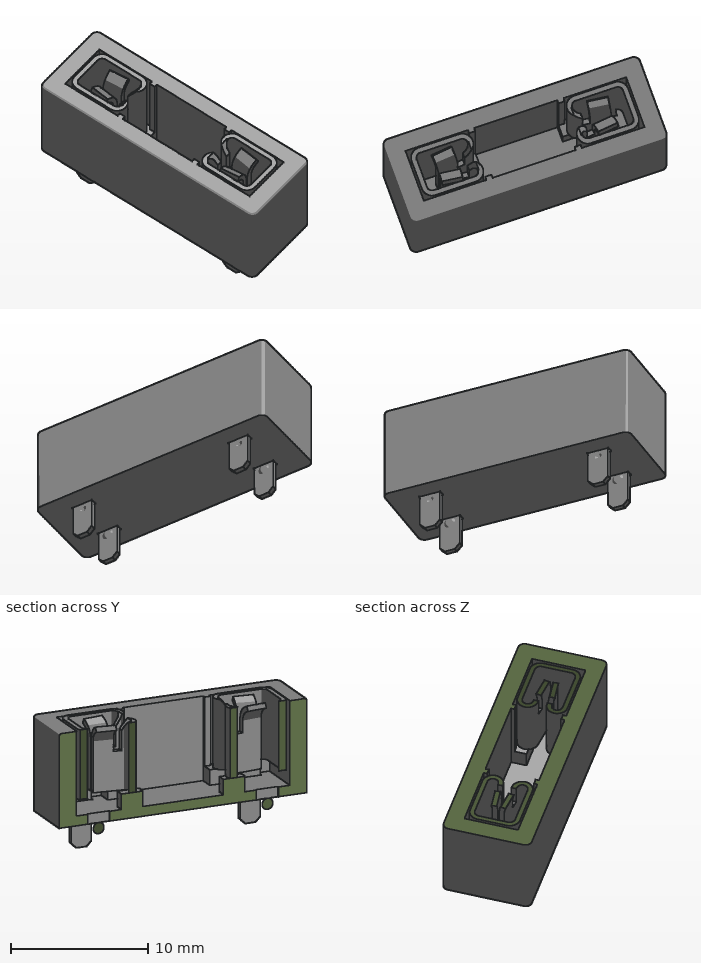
import cadquery as cq
import math

LENGTH = 19.81
WIDTH = 6.74
HOUSING_HEIGHT = 7.29
CORNER_RADIUS = 0.5
RIM_RADIUS = 0.15
CAVITY_LENGTH = 17.04
CAVITY_WIDTH = 4.05
FLOOR = 0.8

SEAT_TOP = 1.98
SEAT_START = 3.2
SEAT_END = 4.95
SEAT_GAP = 1.7
RIB_LENGTH = 0.48
RIB_GAP = 3.53

SHEET = 0.4
BEND_RADIUS = 0.8
INNER_RADIUS = BEND_RADIUS - SHEET
CLIP_WIDTH = 3.82
CLIP_BACK = 8.35
CLIP_FRONT = 3.65
CLIP_BOTTOM = SEAT_TOP
RIM_STEP = 0.08
CLIP_TOP = HOUSING_HEIGHT + RIM_STEP
ARM_TILT = 6.5
ARM_TIP = 6.68
ARM_TOP = 5.01
CUT_START = 3.96
CUT_END = 4.55
CUT_DROP = 0.81

LIP_LENGTH = 1.56
LIP_BEND_START = 5.95
LIP_RADIUS = 1.27
LIP_ANGLE = 63
LIP_FLAT = 0.32

PIN_WIDTH = 1.6
PIN_CENTRE = 6.75
PIN_LENGTH = 2.8
PIN_CHAMFER = 0.4
PIN_CLEARANCE = 0.05
DIMPLE_DROP = 0.4
DIMPLE_BALL = 0.24
DIMPLE_ROLL = 0.5
DIMPLE_ANGLE = 41

ENDS = (-1, 1)
LEG_OUTER = CLIP_WIDTH / 2
LEG_INNER = LEG_OUTER - SHEET
BEND_Y = LEG_OUTER - BEND_RADIUS
BACK_BEND_X = BEND_RADIUS - CLIP_BACK
CURL_X = -CLIP_FRONT - BEND_RADIUS
ARM_ANGLE = ARM_TILT - 90


def block(x_range, y_range, z_range):
    """Box between two limits on each axis."""
    (x0, x1), (y0, y1), (z0, z1) = x_range, y_range, z_range
    return cq.Workplane("XY").box(x1 - x0, y1 - y0, z1 - z0, centered=False).translate((x0, y0, z0))


def both_sides(body):
    """The body given on the +Y side, joined to its mirror image."""
    return body.union(body.mirror("XZ"))


def polar(centre, radius, degrees):
    """Point on a circle round the centre."""
    angle = math.radians(degrees)
    return (centre[0] + radius * math.cos(angle), centre[1] + radius * math.sin(angle))


def cavity_features():
    """Seats under the clips and the ribs that stop the clips sliding inward, at the -X end."""
    half_width = CAVITY_WIDTH / 2
    seat = block((-SEAT_END, -SEAT_START), (SEAT_GAP / 2, half_width), (FLOOR, SEAT_TOP))
    rib = block(
        (-SEAT_START - RIB_LENGTH, -SEAT_START),
        (RIB_GAP / 2, half_width),
        (FLOOR, HOUSING_HEIGHT),
    )
    return both_sides(seat.union(rib))


def pin_slots():
    """Slots through the floor for the two pins at the -X end."""
    half_length = PIN_WIDTH / 2 + PIN_CLEARANCE
    slot = block(
        (-PIN_CENTRE - half_length, -PIN_CENTRE + half_length),
        (LEG_INNER - PIN_CLEARANCE, LEG_OUTER + PIN_CLEARANCE),
        (0, FLOOR),
    )
    return both_sides(slot)


def make_housing():
    body = cq.Workplane("XY").box(LENGTH, WIDTH, HOUSING_HEIGHT, centered=(True, True, False))
    body = body.edges("|Z").fillet(CORNER_RADIUS).faces(">Z").edges().fillet(RIM_RADIUS)
    body = body.cut(
        block(
            (-CAVITY_LENGTH / 2, CAVITY_LENGTH / 2),
            (-CAVITY_WIDTH / 2, CAVITY_WIDTH / 2),
            (FLOOR, HOUSING_HEIGHT),
        )
    )
    for end in ENDS:
        features = cavity_features()
        slots = pin_slots()
        if end > 0:
            features = features.mirror("YZ")
            slots = slots.mirror("YZ")
        body = body.union(features).cut(slots)
    return body


def arm_points():
    """Tip of the spring arm on its face toward the middle plane, then on its other face."""
    curl_end = polar((CURL_X, BEND_Y), BEND_RADIUS, ARM_ANGLE)
    arm_length = (ARM_TIP + curl_end[0]) / math.cos(math.radians(ARM_TILT))
    tip = polar(curl_end, arm_length, ARM_ANGLE - 90)
    return tip, polar(tip, SHEET, ARM_ANGLE + 180)


def clip_wall():
    """Upright strip on the +Y side: back, leg, curl and spring arm."""
    back_centre = (BACK_BEND_X, BEND_Y)
    curl_centre = (CURL_X, BEND_Y)
    tip_front, tip_rear = arm_points()
    return (
        cq.Workplane("XY", origin=(0, 0, CLIP_BOTTOM))
        .moveTo(-CLIP_BACK, 0)
        .lineTo(-CLIP_BACK, BEND_Y)
        .threePointArc(polar(back_centre, BEND_RADIUS, 135), (BACK_BEND_X, LEG_OUTER))
        .lineTo(CURL_X, LEG_OUTER)
        .threePointArc(polar(curl_centre, BEND_RADIUS, 0), polar(curl_centre, BEND_RADIUS, ARM_ANGLE))
        .lineTo(*tip_front)
        .lineTo(*tip_rear)
        .lineTo(*polar(curl_centre, INNER_RADIUS, ARM_ANGLE))
        .threePointArc(polar(curl_centre, INNER_RADIUS, 0), (CURL_X, LEG_INNER))
        .lineTo(BACK_BEND_X, LEG_INNER)
        .threePointArc(polar(back_centre, INNER_RADIUS, 135), (SHEET - CLIP_BACK, BEND_Y))
        .lineTo(SHEET - CLIP_BACK, 0)
        .close()
        .extrude(CLIP_TOP - CLIP_BOTTOM)
    )


def arm_cut():
    """Space above the spring arm: a slope down from the curl, then a step to the arm's top."""
    arm_end = -ARM_TIP - SHEET
    return (
        cq.Workplane("XZ")
        .polyline(
            [
                (-CUT_START, CLIP_TOP),
                (-CUT_END, CLIP_TOP - CUT_DROP),
                (-CUT_END, ARM_TOP),
                (arm_end, ARM_TOP),
                (arm_end, CLIP_TOP),
            ]
        )
        .close()
        .extrude(-BEND_Y)
    )


def lip():
    """Tab rising from the arm and bending away from the middle plane."""
    tip, rear = arm_points()
    outward = (rear[0] - tip[0], rear[1] - tip[1], 0)
    along_arm = (outward[1], -outward[0], 0)
    plane = cq.Plane(origin=(tip[0], tip[1], 0), xDir=outward, normal=along_arm)
    centre = (LIP_RADIUS, LIP_BEND_START)
    inner_radius = LIP_RADIUS - SHEET
    end_angle = 180 - LIP_ANGLE
    middle_angle = 180 - LIP_ANGLE / 2
    outer_end = polar(centre, LIP_RADIUS, end_angle)
    inner_end = polar(centre, inner_radius, end_angle)
    flat_direction = end_angle - 90
    return (
        cq.Workplane(plane)
        .moveTo(0, ARM_TOP)
        .lineTo(0, LIP_BEND_START)
        .threePointArc(polar(centre, LIP_RADIUS, middle_angle), outer_end)
        .lineTo(*polar(outer_end, LIP_FLAT, flat_direction))
        .lineTo(*polar(inner_end, LIP_FLAT, flat_direction))
        .lineTo(*inner_end)
        .threePointArc(polar(centre, inner_radius, middle_angle), (SHEET, LIP_BEND_START))
        .lineTo(SHEET, ARM_TOP)
        .close()
        .extrude(LIP_LENGTH)
    )


def dimple(ball_radius, roll_radius, face_y):
    """Round pressed shape: a ball end blending through a rolled edge into the face at face_y."""
    reach = ball_radius + roll_radius
    rim = reach * math.sin(math.radians(DIMPLE_ANGLE))
    depth = reach * (1 - math.cos(math.radians(DIMPLE_ANGLE)))
    ball_centre = (0, ball_radius - depth)
    roll_centre = (rim, -roll_radius)
    return (
        cq.Workplane("XY")
        .moveTo(0, 0)
        .lineTo(0, -depth)
        .threePointArc(
            polar(ball_centre, ball_radius, DIMPLE_ANGLE / 2 - 90),
            polar(ball_centre, ball_radius, DIMPLE_ANGLE - 90),
        )
        .threePointArc(polar(roll_centre, roll_radius, 90 + DIMPLE_ANGLE / 2), (rim, 0))
        .close()
        .revolve(360, (0, 0), (0, 1))
        .translate((-PIN_CENTRE, face_y, -DIMPLE_DROP))
    )


def pin():
    """Solder pin below the leg, pressed inward to a bump."""
    half_width = PIN_WIDTH / 2
    body = block(
        (-PIN_CENTRE - half_width, -PIN_CENTRE + half_width),
        (LEG_INNER, LEG_OUTER),
        (-PIN_LENGTH, CLIP_BOTTOM),
    )
    body = body.faces("<Z").edges("|Y").chamfer(PIN_CHAMFER)
    bump = dimple(DIMPLE_BALL + SHEET, DIMPLE_ROLL - SHEET, LEG_INNER)
    hollow = dimple(DIMPLE_BALL, DIMPLE_ROLL, LEG_OUTER)
    return body.union(bump).cut(hollow)


def make_clip(end):
    """Clip at the -X end, or its mirror image at the +X end."""
    half = clip_wall().cut(arm_cut()).union(lip()).union(pin())
    clip = both_sides(half)
    return clip if end < 0 else clip.mirror("YZ")


housing = make_housing()
clips = [make_clip(end).val() for end in ENDS]
result = cq.Compound.makeCompound([housing.val(), *clips])